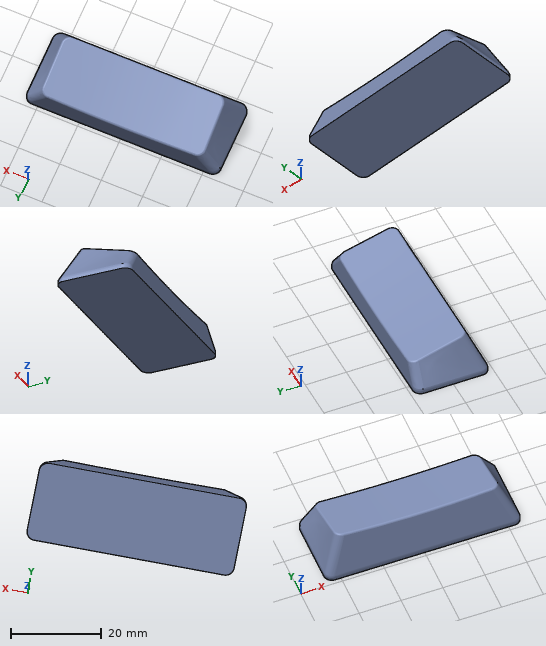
import cadquery as cq
import math

length = 46.75
width = 18.2
corner_radius = 1.95
skirt_height = 0.7

shoulder_height = 0.55
end_inset = 0.15
front_inset = 0.15
back_inset = 0.05
shoulder_sections = 3

top_length = 38.8
top_front_y = -5.15
top_front_z = 10.15
top_back_y = 8.65
tilt_angle = 15.8

dish_radius = 299.15
dish_depth = 0.8

rim_radius = 0.5

tilt = math.radians(tilt_angle)
top_run = top_back_y - top_front_y
top_width = top_run / math.cos(tilt)
top_center_y = (top_front_y + top_back_y) / 2
top_center_z = top_front_z - top_run / 2 * math.tan(tilt)

top_plane = cq.Plane(
    origin=(0, top_center_y, top_center_z),
    xDir=(1, 0, 0),
    normal=(0, math.sin(tilt), math.cos(tilt)),
)


def rounded_rectangle(plane, x_size, y_size):
    """Outline centred on the plane, with the common corner radius."""
    outline = cq.Sketch().rect(x_size, y_size).vertices().fillet(corner_radius)
    return outline.moved(cq.Location(plane))


def shoulder_outline(fraction):
    """Level outline of the shoulder; its inset grows with the square of the height."""
    inset_share = fraction**2
    plane = cq.Plane(
        origin=(
            0,
            inset_share * (front_inset - back_inset) / 2,
            skirt_height + fraction * shoulder_height,
        )
    )
    x_size = length - inset_share * 2 * end_inset
    y_size = width - inset_share * (front_inset + back_inset)
    return rounded_rectangle(plane, x_size, y_size)


def make_skirt():
    outline = rounded_rectangle(cq.Plane.XY(), length, width)
    return cq.Workplane().placeSketch(outline).extrude(skirt_height)


def make_shoulder():
    last = shoulder_sections - 1
    outlines = [shoulder_outline(i / last) for i in range(shoulder_sections)]
    return cq.Workplane().placeSketch(*outlines).loft()


def make_tapered_body():
    """Loft from the shoulder to the tilted top, which twists the end walls slightly."""
    top = rounded_rectangle(top_plane, top_length, top_width)
    return cq.Workplane().placeSketch(shoulder_outline(1), top).loft(ruled=True)


def make_dish_cutter():
    """Large cylinder whose lowest line lies dish_depth below the top plane."""
    cutter_length = 2 * width
    axis_plane = cq.Plane(
        origin=top_plane.toWorldCoords((0, -cutter_length / 2, dish_radius - dish_depth)),
        xDir=(1, 0, 0),
        normal=top_plane.yDir,
    )
    return cq.Workplane(axis_plane).circle(dish_radius).extrude(cutter_length)


body = make_skirt().union(make_shoulder()).union(make_tapered_body())
body = body.cut(make_dish_cutter())

dish_face = cq.selectors.DirectionMinMaxSelector(top_plane.zDir, True)
result = body.faces(dish_face).edges().fillet(rim_radius)